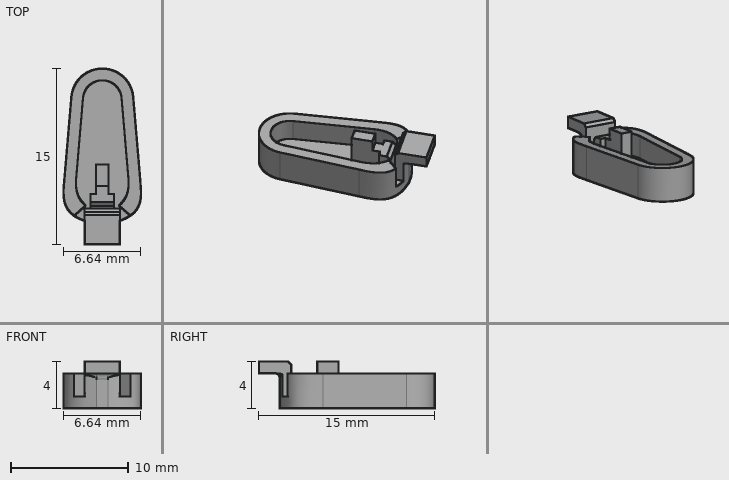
import cadquery as cq
import math

BODY_HEIGHT = 3.0
FLOOR = 1.0
WALL = 1.0
BACK_RADIUS = 2.65
TAPER = math.atan(0.085)
SIDE_END_Y = -6.85
FRONT_Y = -10.56
FRONT_FLAT = 0.48
OUTER_FRONT_CURVE = [(3.32, -7.88), (3.16, -8.92), (2.72, -9.63), (1.5, -10.34)]
NOSE_DIRECTION = (-1, -0.18)
INNER_FRONT_CURVE = [(2.24, -7.42), (2.05, -8.19)]
MOUTH = (1.42, -9.03)
MOUTH_DIRECTION = (-1, -0.9)
MOUTH_OUTER = (2.4, -9.908)

OVERALL_HEIGHT = 4.0
OVERALL_LENGTH = 15.0
LEVER_WIDTH = 3.0
LEVER_BACK_Y = -9.57
LEVER_CHAMFER = 0.28
TAB_END_Y = BACK_RADIUS - OVERALL_LENGTH
NOSE_FILLET = 0.5
EDGE_FILLET = 0.18
EDGE_WALL_Y = -10.34
FILLET_END_Y = -10.98
FILLET_OVERLAP = 0.15

STEM_WIDTH = 1.05
STEM_BACK_Y = -5.55
STEP_Y = -7.36
BAR_WIDTH = 2.01
BAR_BACK_Y = -8.04
BAR_FRONT_Y = -9.08
BAR_CHAMFER = 0.33
BAR_FOOT_RADIUS = 0.18


def mirrored(point):
    return (-point[0], point[1])


def tapered_side(radius):
    """Start and end of the straight side tangent to a back arc of this radius."""
    start = (radius * math.cos(TAPER), radius * math.sin(TAPER))
    end = (start[0] + (start[1] - SIDE_END_Y) * math.tan(TAPER), SIDE_END_Y)
    return start, end


def tray_outline(radius, front_curve, tip, tip_direction):
    """Symmetric closed outline: back arc, straight sides, curves to a front flat."""
    start, end = tapered_side(radius)
    lean = (math.tan(TAPER), -1)
    right = front_curve + [tip]
    left = [mirrored(p) for p in reversed([end] + front_curve)]
    return (
        cq.Workplane("XY")
        .moveTo(*mirrored(start))
        .threePointArc((0, radius), start)
        .lineTo(*end)
        .spline(right, tangents=[lean, tip_direction], includeCurrent=True)
        .lineTo(*mirrored(tip))
        .spline(left, tangents=[(tip_direction[0], -tip_direction[1]), (lean[0], 1)], includeCurrent=True)
        .close()
    )


def block(width, back_y, front_y, bottom, top):
    return (
        cq.Workplane("XY", origin=(0, (back_y + front_y) / 2, bottom))
        .rect(width, back_y - front_y)
        .extrude(top - bottom)
    )


def side_profile(points, width):
    """Extrude a (y, z) polygon symmetrically across X."""
    return cq.Workplane("YZ").polyline(points).close().extrude(width / 2, both=True)


outer = tray_outline(
    BACK_RADIUS, OUTER_FRONT_CURVE, (FRONT_FLAT, FRONT_Y), NOSE_DIRECTION
).extrude(BODY_HEIGHT)


def make_tray():
    cavity = (
        tray_outline(BACK_RADIUS - WALL, INNER_FRONT_CURVE, MOUTH, MOUTH_DIRECTION)
        .extrude(BODY_HEIGHT)
        .translate((0, 0, FLOOR))
    )
    flare_end = tuple(2 * far - near for near, far in zip(MOUTH, MOUTH_OUTER))
    opening = (
        cq.Workplane("XY", origin=(0, 0, FLOOR))
        .polyline([MOUTH, flare_end, mirrored(flare_end), mirrored(MOUTH)])
        .close()
        .extrude(BODY_HEIGHT)
    )
    return outer.cut(cavity).cut(opening)


def fillet_section(x, wall_y, depth):
    """Concave corner section between the lever front and the tab underside."""
    inside_y = wall_y + FILLET_OVERLAP
    return (
        cq.Workplane("YZ", origin=(x, 0, 0))
        .moveTo(inside_y, BODY_HEIGHT)
        .lineTo(inside_y, BODY_HEIGHT - depth)
        .lineTo(wall_y, BODY_HEIGHT - depth)
        .bezier([(wall_y, BODY_HEIGHT), (FILLET_END_Y, BODY_HEIGHT)], includeCurrent=True)
        .close()
        .val()
    )


def make_tab_fillet():
    middle = fillet_section(FRONT_FLAT, FRONT_Y, NOSE_FILLET)
    opposite = fillet_section(-FRONT_FLAT, FRONT_Y, NOSE_FILLET)
    edge = fillet_section(LEVER_WIDTH / 2, EDGE_WALL_Y, EDGE_FILLET)
    centre_part = cq.Workplane(cq.Solid.makeLoft([opposite, middle], True))
    side_part = cq.Workplane(cq.Solid.makeLoft([middle, edge], True))
    return centre_part.union(side_part).union(side_part.mirror("YZ"))


def make_lever():
    wall = outer.intersect(block(LEVER_WIDTH, LEVER_BACK_Y, TAB_END_Y, 0, BODY_HEIGHT))
    tab = (
        block(LEVER_WIDTH, LEVER_BACK_Y, TAB_END_Y, BODY_HEIGHT, OVERALL_HEIGHT)
        .edges(">Y and >Z")
        .chamfer(LEVER_CHAMFER)
    )
    foot = side_profile(
        [
            (LEVER_BACK_Y, FLOOR),
            (LEVER_BACK_Y + LEVER_CHAMFER, FLOOR),
            (LEVER_BACK_Y, FLOOR + LEVER_CHAMFER),
        ],
        LEVER_WIDTH,
    )
    return wall.union(tab).union(foot).union(make_tab_fillet())


def make_stop():
    stem = block(STEM_WIDTH, STEM_BACK_Y, BAR_BACK_Y, FLOOR, BODY_HEIGHT)
    post = block(STEM_WIDTH, STEM_BACK_Y, STEP_Y, BODY_HEIGHT, OVERALL_HEIGHT)
    bar = (
        block(BAR_WIDTH, BAR_BACK_Y, BAR_FRONT_Y, FLOOR, BODY_HEIGHT)
        .edges("<Y and >Z")
        .chamfer(BAR_CHAMFER)
    )
    foot_fillet = block(
        BAR_WIDTH, BAR_FRONT_Y, BAR_FRONT_Y - BAR_FOOT_RADIUS, FLOOR, FLOOR + BAR_FOOT_RADIUS
    ).cut(
        cq.Workplane("YZ", origin=(-BAR_WIDTH / 2, 0, 0))
        .center(BAR_FRONT_Y - BAR_FOOT_RADIUS, FLOOR + BAR_FOOT_RADIUS)
        .circle(BAR_FOOT_RADIUS)
        .extrude(BAR_WIDTH)
    )
    return stem.union(post).union(bar).union(foot_fillet)


result = make_tray().union(make_lever()).union(make_stop())